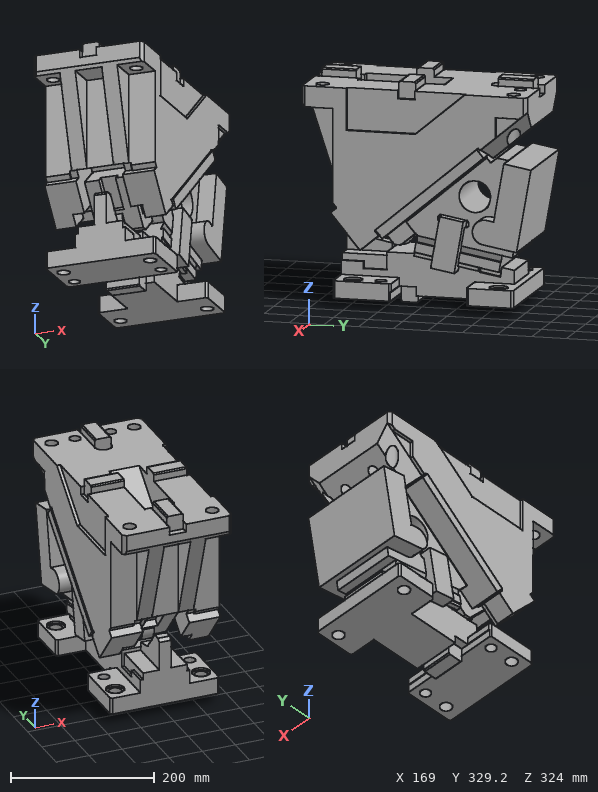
import cadquery as cq
import math


cam_angle = math.radians(40)
slide_angle = math.radians(10)
cam_origin_z = 137.0
slide_origin_z = 60.0
half_width = 82.5
cut_margin = 60.0

holder_top = 300.0
plate_thickness = 30.0
plate_bottom = holder_top - plate_thickness
plate_middle = holder_top - plate_thickness / 2
plate_front = -150.0
plate_rear = 175.0
plate_chamfer = 5.0
body_front = -105.0
body_rear = 130.0
body_front_cut = 81.5
inner_front_cut = 79.0
inner_cut_half_width = 46.0
inner_cut_height = -75.0
rear_seat_depth = 4.0
liner_start, liner_end = -135.0, 56.0
liner_thickness = 15.5
liner_half_width = 84.5
rear_guide_end = -137.0
rear_guide_depth = 23.5
rear_guide_half_top = half_width - plate_chamfer
rear_guide_half_bottom = 57.5
rib_inner, rib_outer = 20.0, 43.0
rib_top = 275.5
ear_start, ear_end = 58.0, 93.0
ear_top, ear_bottom = -58.0, 9.0
ear_notch_half_width = 52.0
ear_notch_top = -10.0
recess_floor = 240.0
recess_depth = 5.0
recess_front = -85.0
side_recess_rear = 85.5
pocket_rear = 40.0
pocket_half_width = 22.5
mount_hole_diameter = 18.0
mount_hole_x = 62.5
front_hole_y = -125.0
rear_hole_y = 151.0
inner_hole_diameter = 16.0
inner_hole_x = 27.0

key_width = 25.0
key_height = 12.0
key_chamfer = 2.0
cross_key_end = 72.5
front_key_range = (-140.0, -90.0)
rear_key_range = (115.0, 165.5)
base_key_half_length = 25.0
base_key_y = -9.5
base_key_seat = 13.0

slider_half_width = 50.0
slider_rear = -142.5
slider_front = -3.0
slider_bottom = 30.0
slider_top = 165.5
slider_cam_start = -127.0
slider_lip_start = -138.5
slider_lip_depth = 26.5
ridge_step = 2.0
rear_block_half_width = 75.0
rear_block_start, rear_block_end = -152.8, -113.0
finger_bottom, finger_top = 45.3, 80.7
finger_center = -103.0
cross_hole_diameter = 45.0
cross_hole_y, cross_hole_z = 91.3, 148.9
rail_start = -127.0
rail_top = 20.0
rail_undercut = 4.0
rail_bottom = 5.5
runner_inner, runner_outer = 41.0, 48.5
runner_start = -97.0
runner_bottom = 0.0
guide_half_width = 27.0
guide_bottom = 0.0
bracket_inner, bracket_outer = 42.0, 63.5
bracket_start, bracket_end = -67.5, -33.0
bracket_bottom, bracket_top = -7.5, 67.5
relief_radius = 5.5
tongue_half_width = 34.0
tongue_start, tongue_end = 25.0, 65.0
tongue_top, tongue_bottom = -45.4, 38.0
tongue_corner_along, tongue_corner_across = 7.0, 6.0
channel_half_width = 35.0
channel_top = -69.5
tongue_slot_half_width = 12.5
tongue_slot_depth = 10.0
tongue_slot_bottom = 2.0
pad_half_width = 9.0
pad_radius = 19.5
pad_along, pad_depth = 52.6, 22.7

base_plate_thickness = 25.0
base_front = -105.0
front_plate_rear = -21.0
rear_plate_front = 88.0
base_rear = 155.5
base_plate_chamfer = 3.0
saddle_half_width = 37.5
saddle_rear = 145.0
saddle_stop_height = 10.0
saddle_flat = 60.5
rear_relief_end, rear_relief_bottom = -97.0, -4.0
nose_rear = -39.2
nose_top = 55.0
nose_half_width = 33.5
nose_step_y = -73.0
nose_side_low, nose_side_high = 35.0, 45.0
fin_half_width = 9.0
fin_top = 102.5
fin_heel = 67.5
fin_ramp_along = 90.0
fin_top_rear = -89.0
fin_chamfer = 4.5
base_hole_x = 65.0
base_bolt_y = (-80.0, 130.0)
base_bolt_diameter = 18.0
base_bore_diameter = 26.0
base_bore_depth = 3.0
dowel_y = -40.0
dowel_diameter = 16.0


def cam(along, depth):
    """(Y, Z) of a point measured down the cam slope and square to it, downwards."""
    y = depth * math.sin(cam_angle) - along * math.cos(cam_angle)
    z = cam_origin_z - along * math.sin(cam_angle) - depth * math.cos(cam_angle)
    return (y, z)


def slide(along, height):
    """(Y, Z) of a point measured up the base slope towards -Y and square to it, upwards."""
    y = height * math.sin(slide_angle) - along * math.cos(slide_angle)
    z = slide_origin_z + along * math.sin(slide_angle) + height * math.cos(slide_angle)
    return (y, z)


def slide_height_at(y, height):
    """Z at a given Y of the plane lying at a height above the slide datum."""
    return slide_origin_z + height / math.cos(slide_angle) - y * math.tan(slide_angle)


def slide_y_at(z, height):
    """Y at a given Z of the plane lying at a height above the slide datum."""
    return (slide_origin_z - z + height / math.cos(slide_angle)) / math.tan(slide_angle)


def cam_height_at(y, depth):
    """Z at a given Y of the plane lying at a depth below the guide face."""
    return cam_origin_z + y * math.tan(cam_angle) - depth / math.cos(cam_angle)


def slab(points, x_from, x_to):
    """Prism with a (Y, Z) outline between two X values."""
    outline = cq.Workplane("YZ").workplane(offset=x_from).polyline(points).close()
    return outline.extrude(x_to - x_from)


def centred_slab(points, half):
    return slab(points, -half, half)


def mirrored_slabs(points, x_from, x_to):
    return slab(points, x_from, x_to).union(slab(points, -x_to, -x_from))


def frame_rectangle(frame, along_from, along_to, across_from, across_to):
    """Corner points of a rectangle laid out in the cam or slide frame."""
    return [
        frame(along_from, across_from),
        frame(along_to, across_from),
        frame(along_to, across_to),
        frame(along_from, across_to),
    ]


def box(x_range, y_range, z_range):
    size = [high - low for low, high in (x_range, y_range, z_range)]
    corner = (x_range[0], y_range[0], z_range[0])
    return cq.Workplane("XY").box(*size, centered=False).translate(corner)


def upright_holes(positions, diameter, z_from, z_to):
    sketch = cq.Workplane("XY").workplane(offset=z_from).pushPoints(positions)
    return sketch.circle(diameter / 2).extrude(z_to - z_from)


def bevelled_key(x_range, y_range, z_range, free_face, long_axis):
    """Key whose long edges on the free face are chamfered."""
    key = box(x_range, y_range, z_range)
    return key.faces(free_face).edges("|" + long_axis).chamfer(key_chamfer)


def holder_blank():
    plate = box((-half_width, half_width), (plate_front, plate_rear), (plate_bottom, holder_top))
    plate = plate.edges("|Z").chamfer(plate_chamfer)
    body = centred_slab(
        [
            (body_front, plate_middle),
            (body_rear, plate_middle),
            (body_rear, cam_height_at(body_rear, rear_seat_depth)),
            cam(rear_guide_end, rear_seat_depth),
            cam(rear_guide_end, 0),
            cam(ear_start, 0),
            cam(ear_start, ear_bottom),
            cam(ear_end, ear_bottom),
            cam(ear_end, ear_top),
            cam(body_front_cut, ear_top),
            (body_front, front_cut_height(body_front_cut)),
        ],
        half_width,
    )
    liner = centred_slab(
        frame_rectangle(cam, liner_start, liner_end, 0, liner_thickness), liner_half_width
    )
    return plate.union(body).union(liner)


def front_cut_height(along):
    """Z where a front cut, square to the cam slope, meets the body's front face."""
    run = along + body_front * math.cos(cam_angle)
    return cam_origin_z - run / math.sin(cam_angle)


def front_ribs():
    outline = [
        (plate_front, rib_top),
        (body_front, rib_top),
        (body_front, front_cut_height(inner_front_cut)),
    ]
    return mirrored_slabs(outline, rib_inner, rib_outer)


def plate_front_bevel():
    """Cutter that carries the rib slope on across the lower front edge of the plate."""
    slope = (body_front - plate_front) / (rib_top - front_cut_height(inner_front_cut))
    bevel_run = slope * (rib_top - plate_bottom)
    outline = [
        (plate_front, rib_top),
        (plate_front + bevel_run, plate_bottom),
        (plate_front, plate_bottom),
    ]
    return centred_slab(outline, half_width)


def plate_rear_bevel():
    """Cutter that carries the slope of the rear seat across the lower rear edge of the plate."""
    rise = cam_height_at(plate_rear, rear_seat_depth) - plate_bottom
    outline = [
        (plate_rear, plate_bottom),
        (plate_rear, plate_bottom + rise),
        (plate_rear - rise / math.tan(cam_angle), plate_bottom),
    ]
    return centred_slab(outline, half_width)


def rear_guide():
    """Gusset under the rear of the plate whose foot narrows to a tapered guide."""
    side = centred_slab(
        [
            (plate_rear, plate_middle),
            (body_rear, plate_middle),
            cam(rear_guide_end, 0),
            cam(rear_guide_end, rear_guide_depth),
            (plate_rear, cam_height_at(plate_rear, rear_guide_depth)),
        ],
        rear_guide_half_top,
    )
    slope_plane = cq.Plane(
        origin=(0, 0, cam_origin_z),
        xDir=(1, 0, 0),
        normal=(0, math.cos(cam_angle), math.sin(cam_angle)),
    )
    reach = abs(rear_guide_end) + 2 * cut_margin
    for sign in (-1, 1):
        bevel = cq.Workplane(slope_plane).polyline(
            [
                (sign * rear_guide_half_top, rear_seat_depth),
                (sign * rear_guide_half_bottom, rear_guide_depth),
                (sign * rear_guide_half_top, rear_guide_depth),
            ]
        )
        side = side.cut(bevel.close().extrude(reach))
    return side


def top_recesses():
    """Two shallow side recesses and the central pocket, all with the same floor and ramp."""
    ramp_run = (holder_top - recess_floor) / math.tan(cam_angle)

    def outline(rear):
        return [
            (recess_front, holder_top),
            (recess_front, recess_floor),
            (rear - ramp_run, recess_floor),
            (rear, holder_top),
        ]

    pocket = centred_slab(outline(pocket_rear), pocket_half_width)
    sides = mirrored_slabs(outline(side_recess_rear), half_width - recess_depth, half_width)
    return pocket.union(sides)


def holder_key_seats():
    half = key_width / 2
    depth = (holder_top - key_height, holder_top)
    cross = box((-half_width, half_width), (-half, half), depth)
    front = box((-half, half), (plate_front, recess_front), depth)
    rear = box((-half, half), (rear_key_range[0], plate_rear), depth)
    rear_end = upright_holes([(0, rear_key_range[0])], key_width, *depth)
    return cross.union(front).union(rear).union(rear_end)


def holder_keys():
    half = key_width / 2
    height = (holder_top - key_height, holder_top + key_height)
    places = [
        ((-half, half), front_key_range, "Y"),
        ((-half, half), rear_key_range, "Y"),
        ((pocket_half_width, cross_key_end), (-half, half), "X"),
        ((-cross_key_end, -pocket_half_width), (-half, half), "X"),
    ]
    keys = cq.Workplane("XY")
    for x_range, y_range, long_axis in places:
        keys = keys.add(bevelled_key(x_range, y_range, height, ">Z", long_axis))
    return keys


def make_holder():
    holder = holder_blank().cut(plate_front_bevel()).cut(plate_rear_bevel())
    holder = holder.union(front_ribs()).union(rear_guide())
    channel = frame_rectangle(
        cam, tongue_start, ear_end + cut_margin, channel_top, tongue_bottom
    )
    holder = holder.cut(centred_slab(channel, channel_half_width))
    notch = frame_rectangle(cam, ear_start, ear_end, ear_notch_top, ear_bottom)
    holder = holder.cut(centred_slab(notch, ear_notch_half_width))
    inner_cut = frame_rectangle(
        cam, inner_front_cut, body_front_cut, inner_cut_height, ear_top
    )
    holder = holder.cut(centred_slab(inner_cut, inner_cut_half_width))
    holder = holder.cut(top_recesses()).cut(holder_key_seats())
    mounts = [(s * mount_hole_x, y) for s in (-1, 1) for y in (front_hole_y, rear_hole_y)]
    inner = [(s * inner_hole_x, rear_hole_y) for s in (-1, 1)]
    holder = holder.cut(upright_holes(mounts, mount_hole_diameter, 0, holder_top))
    holder = holder.cut(upright_holes(inner, inner_hole_diameter, 0, holder_top))
    for key in holder_keys().vals():
        holder = holder.union(cq.Workplane(key))
    return holder


def slider_body():
    outline = [
        slide(slider_rear, slider_bottom),
        slide(slider_rear, slider_top),
        cam(slider_lip_start, slider_lip_depth),
        cam(slider_cam_start, slider_lip_depth),
        cam(slider_cam_start, liner_thickness + ridge_step),
        cam(tongue_start, liner_thickness + ridge_step),
        cam(tongue_start, tongue_bottom),
        slide(slider_front, slider_bottom),
    ]
    ridge = frame_rectangle(
        cam, slider_cam_start, tongue_start, liner_thickness, liner_thickness + ridge_step
    )
    body = centred_slab(outline, slider_half_width)
    return body.union(centred_slab(ridge, slider_half_width - ridge_step))


def slider_rear_block():
    """Wide rear block with a round-ended finger reaching forward at its foot."""
    finger_radius = (finger_top - finger_bottom) / 2
    finger_middle = (finger_top + finger_bottom) / 2
    outline = (
        cq.Workplane("YZ")
        .workplane(offset=-rear_block_half_width)
        .moveTo(*slide(rear_block_start, finger_bottom))
        .lineTo(*slide(rear_block_start, slider_top))
        .lineTo(*slide(rear_block_end, slider_top))
        .lineTo(*slide(rear_block_end, finger_top))
        .lineTo(*slide(finger_center, finger_top))
        .threePointArc(
            slide(finger_center + finger_radius, finger_middle),
            slide(finger_center, finger_bottom),
        )
        .close()
    )
    return outline.extrude(2 * rear_block_half_width)


def slider_rails():
    """Foot of the slider: an undercut neck, two rails with runners, and a guide key between them."""
    section_plane = cq.Plane(
        origin=(0, *slide(rail_start, 0)),
        xDir=(1, 0, 0),
        normal=(0, -math.cos(slide_angle), math.sin(slide_angle)),
    )
    right_half = [
        (guide_half_width, guide_bottom),
        (guide_half_width, rail_bottom),
        (slider_half_width, rail_bottom),
        (slider_half_width, rail_top),
        (slider_half_width - rail_undercut, rail_top),
        (slider_half_width, slider_bottom),
    ]
    left_half = [(-x, height) for x, height in reversed(right_half)]
    section = cq.Workplane(section_plane).polyline(right_half + left_half).close()
    rails = section.extrude(slider_front - rail_start)
    runner = frame_rectangle(slide, runner_start, slider_front, runner_bottom, rail_top)
    return rails.union(mirrored_slabs(runner, runner_inner, runner_outer))


def slider_tongue():
    """Front tongue with a slot for the base fin and a round pad below the slot."""
    outline = [
        cam(tongue_start, tongue_top),
        cam(tongue_end, tongue_top),
        cam(tongue_end, tongue_bottom - tongue_corner_across),
        cam(tongue_end - tongue_corner_along, tongue_bottom),
        cam(tongue_start, tongue_bottom),
    ]
    slot = frame_rectangle(
        cam, tongue_end - tongue_slot_depth, tongue_end, tongue_top, tongue_slot_bottom
    )
    pad = (
        cq.Workplane("YZ")
        .workplane(offset=-pad_half_width)
        .center(*cam(pad_along, pad_depth))
        .circle(pad_radius)
        .extrude(2 * pad_half_width)
    )
    tongue = centred_slab(outline, tongue_half_width)
    return tongue.cut(centred_slab(slot, tongue_slot_half_width)).union(pad)


def side_hole(center, radius, x_from, x_to):
    sketch = cq.Workplane("YZ").workplane(offset=x_from).center(*center)
    return sketch.circle(radius).extrude(x_to - x_from)


def make_slider():
    slider = slider_body().union(slider_rear_block()).union(slider_rails()).union(slider_tongue())
    slider = slider.cut(
        side_hole(
            (cross_hole_y, cross_hole_z),
            cross_hole_diameter / 2,
            -rear_block_half_width,
            rear_block_half_width,
        )
    )
    for along in (bracket_start, bracket_end):
        center = slide(along, bracket_top - relief_radius)
        slider = slider.cut(side_hole(center, relief_radius, bracket_inner, slider_half_width))
        slider = slider.cut(side_hole(center, relief_radius, -slider_half_width, -bracket_inner))
    bracket = frame_rectangle(slide, bracket_start, bracket_end, bracket_bottom, bracket_top)
    return slider.union(mirrored_slabs(bracket, bracket_inner, bracket_outer))


def base_plates():
    plates = cq.Workplane("XY")
    for y_range in ((base_front, front_plate_rear), (rear_plate_front, base_rear)):
        plate = box((-half_width, half_width), y_range, (0, base_plate_thickness))
        plates = plates.add(plate.edges("|Z").chamfer(base_plate_chamfer))
    return plates


def base_saddle():
    """Saddle with its inclined slide face, the narrower nose in front and rear side reliefs."""
    outline = [
        (base_front, 0),
        (saddle_rear, 0),
        (saddle_rear, slide_height_at(saddle_rear, saddle_stop_height)),
        slide(rail_start, saddle_stop_height),
        slide(rail_start, rail_bottom),
        (slide_y_at(saddle_flat, rail_bottom), saddle_flat),
        (nose_rear, saddle_flat),
        (nose_rear, nose_top),
        (base_front, nose_top),
    ]
    groove = frame_rectangle(
        slide, rail_start, slider_front, guide_bottom, saddle_stop_height
    )
    nose_relief = [
        (nose_rear, nose_top),
        (nose_rear, nose_side_low),
        (nose_step_y, nose_side_low),
        (nose_step_y, nose_side_high),
        (base_front, nose_side_high),
        (base_front, nose_top),
    ]
    saddle = centred_slab(outline, saddle_half_width).cut(centred_slab(groove, guide_half_width))
    rear_relief = frame_rectangle(
        slide, rail_start, rear_relief_end, rear_relief_bottom, saddle_stop_height
    )
    for relief in (nose_relief, rear_relief):
        saddle = saddle.cut(mirrored_slabs(relief, nose_half_width, saddle_half_width))
    return saddle


def base_fin():
    """Upright fin on the nose; its ramp is square to the cam slope."""
    ramp_foot = cam(fin_ramp_along, ear_bottom)
    outline = [
        (base_front, base_plate_thickness),
        (nose_rear, base_plate_thickness),
        (nose_rear, fin_heel),
        ramp_foot,
        (fin_top_rear, fin_top),
        (base_front, fin_top),
    ]
    fin = centred_slab(outline, fin_half_width)
    return fin.faces("<Y").edges(">Z").chamfer(fin_chamfer)


def base_key():
    y_range = (base_key_y - key_width / 2, base_key_y + key_width / 2)
    x_range = (-base_key_half_length, base_key_half_length)
    return bevelled_key(x_range, y_range, (-key_height, base_key_seat), "<Z", "X")


def make_base():
    base = base_saddle().union(base_fin())
    for plate in base_plates().vals():
        base = base.union(cq.Workplane(plate))
    seat_y = (base_key_y - key_width / 2, base_key_y + key_width / 2)
    base = base.cut(box((-half_width, half_width), seat_y, (0, base_key_seat)))
    bolts = [(s * base_hole_x, y) for s in (-1, 1) for y in base_bolt_y]
    dowels = [(s * base_hole_x, dowel_y) for s in (-1, 1)]
    bore_floor = base_plate_thickness - base_bore_depth
    base = base.cut(upright_holes(bolts, base_bolt_diameter, 0, base_plate_thickness))
    base = base.cut(upright_holes(bolts, base_bore_diameter, bore_floor, base_plate_thickness))
    base = base.cut(upright_holes(dowels, dowel_diameter, 0, base_plate_thickness))
    return base.union(base_key())


holder = make_holder()
slider = make_slider()
base = make_base()

result = cq.Compound.makeCompound([holder.val(), slider.val(), base.val()])